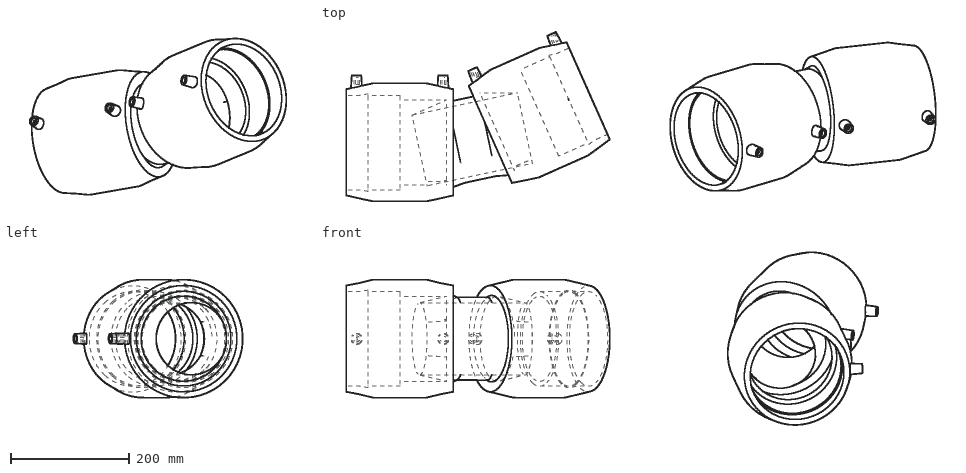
import cadquery as cq
import math


bend_angle = 24.0
mouth_to_corner = 213.97

coupler_length = 181.4
body_diameter = 200.0
end_diameter = 180.0
taper_length = coupler_length / 4

socket_diameter = 160.0
socket_depth = coupler_length / 2
groove_diameter = 165.0
groove_start = coupler_length / 8
groove_end = coupler_length / 5

pipe_diameter = 140.14
pipe_bore = 122.06
pipe_half_length = 27.0
bore_half_length = 91.0
flare_diameter = 160.0
flare_bore = 144.0
flare_start = 169.0

terminal_inset = 17.6
terminal_top = 113.3
terminal_top_diameter = 16.5
terminal_base_diameter = 20.0
terminal_base = 85.0
terminal_hole_diameter = 10.0
terminal_hole_depth = 15.0
contact_diameter = 4.0
contact_length = 12.0

half_angle = math.radians(bend_angle / 2)
corner = cq.Vector(mouth_to_corner, 0, 0)
pipe_direction = cq.Vector(math.cos(half_angle), math.sin(half_angle), 0)
bisector = cq.Vector(-math.sin(half_angle), math.cos(half_angle), 0)
pipe_middle = corner + bisector * (pipe_half_length * math.tan(half_angle))


def mirrored(shape):
    """Mirror image of a shape in the plane that bisects the bend."""
    flipped = shape.mirror("YZ", corner.toTuple())
    return flipped.rotate(corner, corner + cq.Vector(0, 0, 1), bend_angle)


def circle_wire(diameter, center, direction):
    return cq.Wire.makeCircle(diameter / 2, center, direction)


def middle_cylinder(diameter, half_length):
    """Cylinder along the inclined pipe axis, centred on the bisecting plane."""
    start = pipe_middle - pipe_direction * half_length
    solid = cq.Solid.makeCylinder(diameter / 2, 2 * half_length, start, pipe_direction)
    return cq.Workplane(obj=solid)


def flare(coupler_diameter, start, diameter, half_length):
    """Transition from a circle square to the coupler to the end of a middle cylinder."""
    coupler_end = circle_wire(coupler_diameter, cq.Vector(start, 0, 0), cq.Vector(1, 0, 0))
    pipe_end = circle_wire(diameter, pipe_middle - pipe_direction * half_length, pipe_direction)
    return cq.Workplane(obj=cq.Solid.makeLoft([coupler_end, pipe_end], True))


def revolved_x(profile):
    """Solid of revolution about the coupler axis."""
    return cq.Workplane("XY").polyline(profile).close().revolve(360, (0, 0, 0), (1, 0, 0))


def coupler_body():
    """Solid barrel tapered at both ends."""
    profile = [
        (0, 0),
        (0, end_diameter / 2),
        (taper_length, body_diameter / 2),
        (coupler_length - taper_length, body_diameter / 2),
        (coupler_length, end_diameter / 2),
        (coupler_length, 0),
    ]
    return revolved_x(profile)


def socket():
    """Stepped bore of the coupler with a groove that widens inward to a square step."""
    profile = [
        (0, 0),
        (0, socket_diameter / 2),
        (groove_start, socket_diameter / 2),
        (groove_end, groove_diameter / 2),
        (groove_end, socket_diameter / 2),
        (socket_depth, socket_diameter / 2),
        (socket_depth, flare_bore / 2),
        (flare_start, flare_bore / 2),
        (flare_start, 0),
    ]
    return revolved_x(profile)


def terminal(x):
    """Tapered hollow post on the +Y side with a contact pin inside it."""

    def top_plane():
        return cq.Workplane("XZ", origin=(x, terminal_top, 0))

    height = terminal_top - terminal_base
    post = (
        top_plane()
        .circle(terminal_top_diameter / 2)
        .workplane(offset=height)
        .circle(terminal_base_diameter / 2)
        .loft(ruled=True)
    )
    hole = top_plane().circle(terminal_hole_diameter / 2).extrude(terminal_hole_depth)
    pin = (
        top_plane()
        .workplane(offset=terminal_hole_depth - contact_length)
        .circle(contact_diameter / 2)
        .extrude(height - terminal_hole_depth + contact_length)
    )
    return post.cut(hole).union(pin)


outer_half = coupler_body().union(flare(flare_diameter, flare_start, pipe_diameter, pipe_half_length))
for terminal_x in (terminal_inset, coupler_length - terminal_inset):
    outer_half = outer_half.union(terminal(terminal_x))

inner_half = socket().cut(flare(flare_bore, flare_start, pipe_bore, bore_half_length))

result = outer_half.union(mirrored(outer_half)).union(middle_cylinder(pipe_diameter, pipe_half_length))
for cavity in (inner_half, mirrored(inner_half), middle_cylinder(pipe_bore, bore_half_length)):
    result = result.cut(cavity)